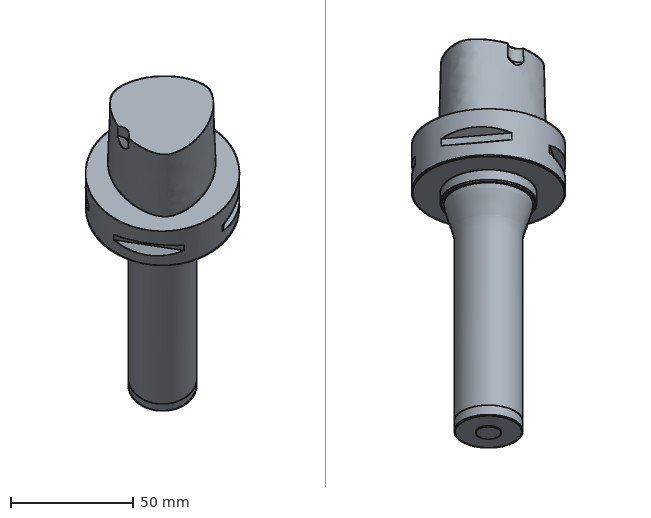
import cadquery as cq
import math


shank_height = 38.0
shank_base_height = 3.0
shank_mean_diameter = 44.1
shank_taper = 1 / 20
lobe_eccentricity = 1.65
lobe_point_count = 48

notch_radius = 4.7
notch_depth = 6.3
notch_inner_y = -17.3
notch_tip_angle = 50.0

flange_diameter = 63.0
flange_height = 22.0
flange_chamfer = 0.5
groove_count = 4
groove_first_angle = 45.0
groove_z = -12.0
groove_floor_distance = 27.9
groove_floor_height = 3.2
groove_mouth_height = 7.5

collar_diameter = 39.5
collar_height = 5.2
collar_chamfer = 0.6
neck_diameter = 36.5
neck_end_z = -28.6
bar_diameter = 28.1
cone_angle = 17.2
cone_top_round = 6.0
cone_bottom_round = 14.0

total_length = 134.0
disc_top_z = -128.7
disc_chamfer = 0.4
boss_diameter = 10.4
boss_height = 0.5


def lobed_outline(mean_diameter, z):
    """Closed three-lobed curve at height z, with one lobe pointing to +Y."""
    mean_radius = mean_diameter / 2
    points = []
    for i in range(lobe_point_count):
        t = 2 * math.pi * i / lobe_point_count
        along = mean_radius * math.cos(t) - lobe_eccentricity * (2 * math.cos(2 * t) - math.cos(4 * t))
        across = mean_radius * math.sin(t) + lobe_eccentricity * (2 * math.sin(2 * t) + math.sin(4 * t))
        points.append(cq.Vector(across, -along, z))
    return cq.Wire.assembleEdges([cq.Edge.makeSpline(points, periodic=True)])


def make_shank():
    """Straight lobed base with the tapered lobed shank on top."""
    end_diameter = shank_mean_diameter - (shank_height - shank_base_height) * shank_taper
    base_start = lobed_outline(shank_mean_diameter, 0)
    base_end = lobed_outline(shank_mean_diameter, shank_base_height)
    taper_end = lobed_outline(end_diameter, shank_height)
    base = cq.Solid.makeLoft([base_start, base_end], True)
    taper = cq.Solid.makeLoft([base_end, taper_end], True)
    return cq.Workplane(base).union(cq.Workplane(taper))


def make_notch_cutter():
    """Vertical drill shape with a conical tip, open through the shank's end face."""
    tip_height = notch_radius * math.tan(math.radians(notch_tip_angle))
    return (
        cq.Workplane("XZ")
        .polyline([(0, 0), (notch_radius, 0), (notch_radius, -notch_depth), (0, -notch_depth - tip_height)])
        .close()
        .revolve(360, (0, 0), (0, 1))
        .translate((0, notch_inner_y - notch_radius, shank_height))
    )


def make_turned_body():
    """Flange, collar, neck, cone and bar as one turned profile."""
    flange_radius = flange_diameter / 2
    collar_radius = collar_diameter / 2
    neck_radius = neck_diameter / 2
    bar_radius = bar_diameter / 2
    collar_end_z = -flange_height - collar_height
    cone_end_z = neck_end_z - (neck_radius - bar_radius) / math.tan(math.radians(cone_angle))
    profile = [
        (0, 0),
        (flange_radius, 0),
        (flange_radius, -flange_height + flange_chamfer),
        (flange_radius - flange_chamfer, -flange_height),
        (collar_radius, -flange_height),
        (collar_radius, collar_end_z + collar_chamfer),
        (collar_radius - collar_chamfer, collar_end_z),
        (neck_radius, collar_end_z),
        (neck_radius, neck_end_z),
        (bar_radius, cone_end_z),
        (bar_radius, disc_top_z),
        (0, disc_top_z),
    ]
    body = cq.Workplane("XZ").polyline(profile).close().revolve(360, (0, 0), (0, 1))
    body = round_circle(body, neck_radius, neck_end_z, cone_top_round)
    return round_circle(body, bar_radius, cone_end_z, cone_bottom_round)


def round_circle(body, radius, z, fillet_radius):
    """Fillet the circular edge of the given radius that lies at height z."""
    margin = 0.01
    reach = radius + margin
    circle = cq.selectors.BoxSelector((-reach, -reach, z - margin), (reach, reach, z + margin), boundingbox=True)
    return body.edges(circle).fillet(fillet_radius)


def make_groove_cutter(angle):
    """Straight gripper groove with a flat floor and flaring walls, facing the given angle."""
    flange_radius = flange_diameter / 2
    overshoot = 1.0
    floor_half = groove_floor_height / 2
    flare = (groove_mouth_height / 2 - floor_half) / (flange_radius - groove_floor_distance)
    outer_distance = flange_radius + overshoot
    outer_half = floor_half + flare * (outer_distance - groove_floor_distance)
    return (
        cq.Workplane("XZ")
        .polyline([
            (groove_floor_distance, groove_z - floor_half),
            (outer_distance, groove_z - outer_half),
            (outer_distance, groove_z + outer_half),
            (groove_floor_distance, groove_z + floor_half),
        ])
        .close()
        .extrude(flange_radius, both=True)
        .rotate((0, 0, 0), (0, 0, 1), angle)
    )


def make_adapter():
    adapter = make_turned_body().union(make_shank()).cut(make_notch_cutter())
    for i in range(groove_count):
        adapter = adapter.cut(make_groove_cutter(groove_first_angle + i * 360 / groove_count))
    return adapter


def make_end_disc():
    """Short disc that closes the bar, with a shallow central boss on its lower face."""
    boss_end_z = -total_length
    face_z = boss_end_z + boss_height
    disc = (
        cq.Workplane("XY", origin=(0, 0, face_z))
        .circle(bar_diameter / 2)
        .extrude(disc_top_z - face_z)
        .faces("<Z").edges().chamfer(disc_chamfer)
    )
    boss = cq.Workplane("XY", origin=(0, 0, boss_end_z)).circle(boss_diameter / 2).extrude(boss_height)
    return disc.union(boss)


adapter = make_adapter()
end_disc = make_end_disc()

result = cq.Compound.makeCompound([adapter.val(), end_disc.val()])